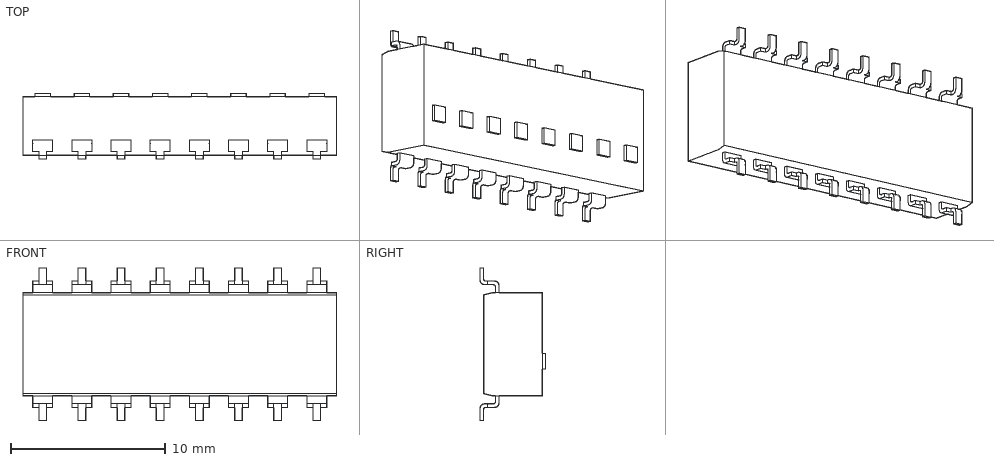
import cadquery as cq

body_length = 20.35
body_depth = 3.8
body_height = 6.7
taper_depth = 0.57
taper_drop = 0.15

position_count = 8
row_span = 17.77
pitch = row_span / (position_count - 1)
position_xs = [i * pitch - row_span / 2 for i in range(position_count)]

overall_height = 9.92
lead_thickness = 0.25
lead_back = 1.0
shelf_rise = 0.75
inner_bend = 0.12
outer_bend = 0.3
wide_width = 1.3
narrow_width = 0.5
wide_front = 0.25

knob_size = 1.02
knob_height = 0.2
knob_z = -1.1


def make_body():
    """Long box whose top and bottom slope inward next to the front face."""
    half = body_height / 2
    front_half = half - taper_drop
    outline = [
        (0, -front_half),
        (taper_depth, -half),
        (body_depth, -half),
        (body_depth, half),
        (taper_depth, half),
        (0, front_half),
    ]
    return cq.Workplane("YZ").polyline(outline).close().extrude(body_length / 2, both=True)


def make_upper_lead():
    """Lead on the upper face at X = 0: up, forward along a shelf, then up to the tip."""
    base = body_height / 2
    tip = overall_height / 2
    shelf_top = base + shelf_rise
    shelf_bottom = shelf_top - lead_thickness
    inner_face = lead_back - lead_thickness
    tip_front = -lead_thickness

    wide = (
        cq.Workplane("YZ")
        .moveTo(lead_back, base)
        .lineTo(lead_back, shelf_top - outer_bend)
        .radiusArc((lead_back - outer_bend, shelf_top), -outer_bend)
        .lineTo(wide_front, shelf_top)
        .lineTo(wide_front, shelf_bottom)
        .lineTo(inner_face - inner_bend, shelf_bottom)
        .radiusArc((inner_face, shelf_bottom - inner_bend), inner_bend)
        .lineTo(inner_face, base)
        .close()
        .extrude(wide_width / 2, both=True)
    )
    narrow = (
        cq.Workplane("YZ")
        .moveTo(wide_front, shelf_bottom)
        .lineTo(wide_front, shelf_top)
        .lineTo(inner_bend, shelf_top)
        .radiusArc((0, shelf_top + inner_bend), inner_bend)
        .lineTo(0, tip)
        .lineTo(tip_front, tip)
        .lineTo(tip_front, shelf_bottom + outer_bend)
        .radiusArc((tip_front + outer_bend, shelf_bottom), -outer_bend)
        .close()
        .extrude(narrow_width / 2, both=True)
    )
    return wide.union(narrow)


def make_knob():
    """Square knob at X = 0, standing on the rear face."""
    return (
        cq.Workplane("XY")
        .box(knob_size, knob_height, knob_size)
        .translate((0, body_depth + knob_height / 2, knob_z))
    )


upper_lead = make_upper_lead()
lower_lead = upper_lead.mirror("XY")
knob = make_knob()

result = make_body()
for x in position_xs:
    for feature in (upper_lead, lower_lead, knob):
        result = result.union(feature.translate((x, 0, 0)))